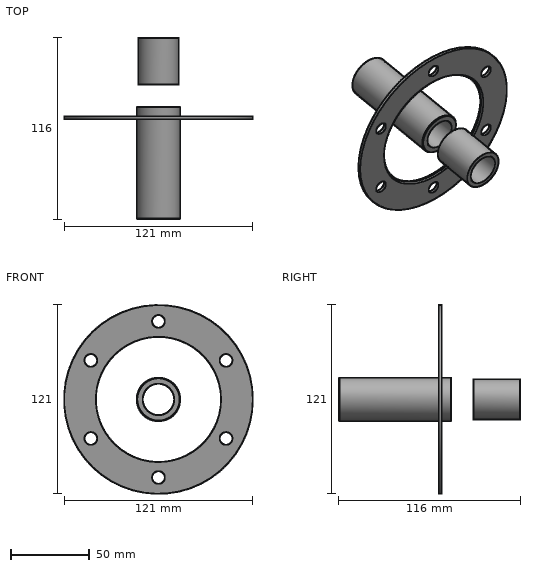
import cadquery as cq

ring_diameter = 121.0
ring_opening = 80.0
ring_thickness = 2.0
opening_chamfer = 1.0
bolt_circle_diameter = 100.0
bolt_hole_diameter = 8.0
bolt_hole_count = 6

bore_diameter = 20.0
tube_diameter = 28.0
tube_length = 72.0
tube_back_overhang = 6.0
tube_chamfer = 0.5

sleeve_diameter = 26.0
sleeve_length = 30.0
sleeve_gap = 14.0

tube_back = ring_thickness + tube_back_overhang
tube_front = tube_back - tube_length
sleeve_front = tube_back + sleeve_gap


def hollow_cylinder(outer_diameter, inner_diameter, front, length):
    """Round hollow body on the Y axis, running from Y = front toward +Y."""
    return (
        cq.Workplane("XZ", origin=(0, front, 0))
        .circle(outer_diameter / 2)
        .circle(inner_diameter / 2)
        .extrude(-length)
    )


def make_ring():
    blank = hollow_cylinder(ring_diameter, ring_opening, 0, ring_thickness)
    opening_rim = cq.selectors.RadiusNthSelector(0)
    chamfered = blank.faces(">Y").edges(opening_rim).chamfer(opening_chamfer)
    bolt_holes = (
        cq.Workplane("XZ")
        .polarArray(bolt_circle_diameter / 2, 90, 360, bolt_hole_count)
        .circle(bolt_hole_diameter / 2)
        .extrude(-ring_thickness)
    )
    return chamfered.cut(bolt_holes)


def make_tube():
    blank = hollow_cylinder(tube_diameter, bore_diameter, tube_front, tube_length)
    outer_rims = cq.selectors.RadiusNthSelector(-1)
    return blank.edges(outer_rims).chamfer(tube_chamfer)


def make_sleeve():
    return hollow_cylinder(sleeve_diameter, bore_diameter, sleeve_front, sleeve_length)


ring = make_ring()
tube = make_tube()
sleeve = make_sleeve()

result = cq.Compound.makeCompound([ring.val(), tube.val(), sleeve.val()])